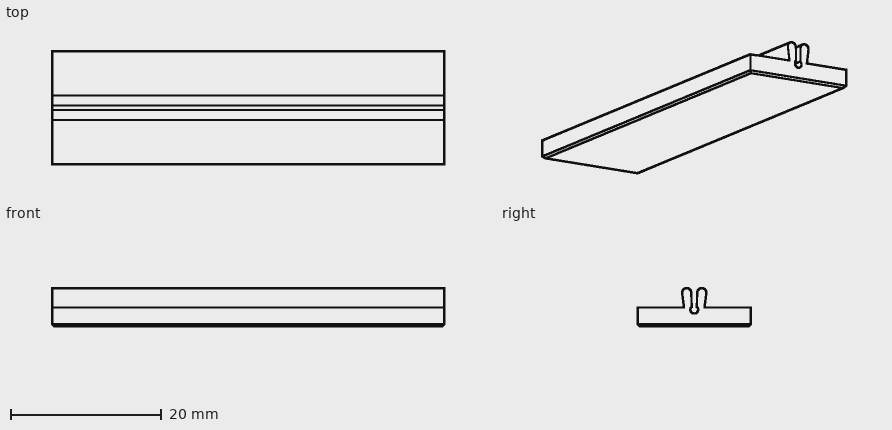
import cadquery as cq
import math

LENGTH = 52.0
WIDTH = 15.0
BASE_THICKNESS = 2.5
BOTTOM_CHAMFER = 0.3

TOTAL_HEIGHT = 5.07
TIP_RADIUS = 0.62
TIP_SPACING = 2.0
FLANK_ANGLE = math.radians(7.4)
SLOT_WALL_ANGLE = math.radians(1.9)

RELIEF_RADIUS = 0.5
RELIEF_BOTTOM = 1.71

TIP_CENTER_Y = TIP_SPACING / 2
TIP_CENTER_Z = TOTAL_HEIGHT - TIP_RADIUS
RELIEF_CENTER_Z = RELIEF_BOTTOM + RELIEF_RADIUS

FLANK_TOP_Y = TIP_CENTER_Y + TIP_RADIUS * math.cos(FLANK_ANGLE)
FLANK_TOP_Z = TIP_CENTER_Z - TIP_RADIUS * math.sin(FLANK_ANGLE)
FLANK_ROOT_Y = FLANK_TOP_Y - (FLANK_TOP_Z - BASE_THICKNESS) * math.tan(FLANK_ANGLE)
WALL_TOP_Y = TIP_CENTER_Y - TIP_RADIUS * math.cos(SLOT_WALL_ANGLE)
WALL_TOP_Z = TIP_CENTER_Z + TIP_RADIUS * math.sin(SLOT_WALL_ANGLE)
WALL_FOOT_Y = WALL_TOP_Y - (WALL_TOP_Z - RELIEF_CENTER_Z) * math.tan(SLOT_WALL_ANGLE)


def extrude_along_length(profile):
    """Extrude a YZ profile over the full length, centred on X = 0."""
    return profile.extrude(LENGTH / 2, both=True)


def make_base():
    """Flat plate with its bottom edges chamfered all round."""
    plate = cq.Workplane("XY").box(LENGTH, WIDTH, BASE_THICKNESS, centered=(True, True, False))
    return plate.faces("<Z").edges().chamfer(BOTTOM_CHAMFER)


def make_prong(side):
    """Prong on the +Y (side = 1) or -Y (side = -1) half, rooted inside the plate."""
    profile = (
        cq.Workplane("YZ")
        .moveTo(side * WALL_FOOT_Y, RELIEF_CENTER_Z)
        .lineTo(side * FLANK_ROOT_Y, RELIEF_CENTER_Z)
        .lineTo(side * FLANK_ROOT_Y, BASE_THICKNESS)
        .lineTo(side * FLANK_TOP_Y, FLANK_TOP_Z)
        .threePointArc((side * TIP_CENTER_Y, TOTAL_HEIGHT), (side * WALL_TOP_Y, WALL_TOP_Z))
        .close()
    )
    return extrude_along_length(profile)


def make_slot():
    """Tapered slot between the prongs, with the round relief at its foot."""
    slot_profile = cq.Workplane("YZ").polyline(
        [
            (-WALL_FOOT_Y, RELIEF_CENTER_Z),
            (WALL_FOOT_Y, RELIEF_CENTER_Z),
            (WALL_TOP_Y, WALL_TOP_Z),
            (-WALL_TOP_Y, WALL_TOP_Z),
        ]
    ).close()
    relief_profile = cq.Workplane("YZ").center(0, RELIEF_CENTER_Z).circle(RELIEF_RADIUS)
    return extrude_along_length(slot_profile).union(extrude_along_length(relief_profile))


body = make_base()
for prong_side in (1, -1):
    body = body.union(make_prong(prong_side))

result = body.cut(make_slot())